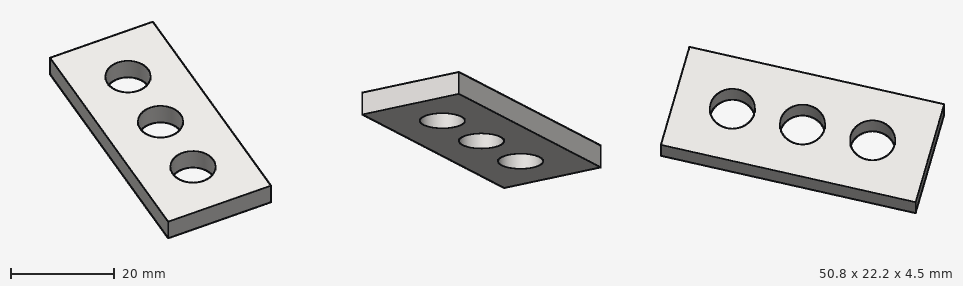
import cadquery as cq

plate_length = 50.8
plate_width = 22.23
plate_thickness = 4.5

hole_count = 3
hole_diameter = 8.73
hole_pitch = 13.97


def make_plate():
    """Rectangular plate with its bottom face at Z = 0."""
    return cq.Workplane("XY").box(
        plate_length, plate_width, plate_thickness, centered=(True, True, False)
    )


def drill_hole_row(plate):
    """Drill equally spaced through holes, centred on the plate."""
    first_hole_x = -hole_pitch * (hole_count - 1) / 2
    centres = [(first_hole_x + i * hole_pitch, 0) for i in range(hole_count)]
    top_face = plate.faces(">Z").workplane(origin=(0, 0, plate_thickness))
    return top_face.pushPoints(centres).hole(hole_diameter)


result = drill_hole_row(make_plate())